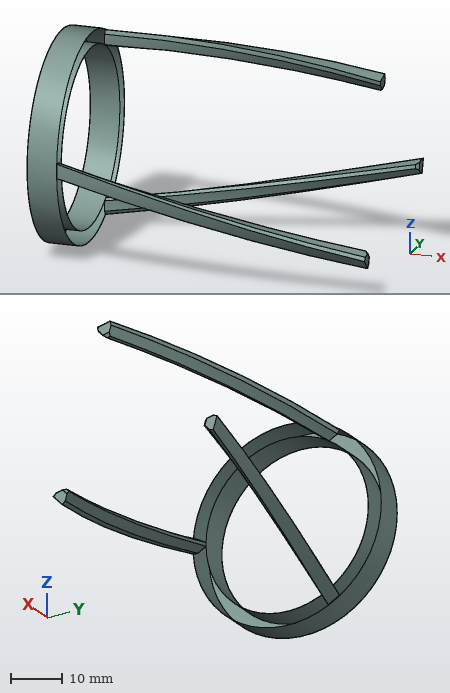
import cadquery as cq

OVERALL_LENGTH = 67.9
RING_DIAMETER = 43.0
BORE_DIAMETER = 37.0
RING_WIDTH = 6.1

LEG_COUNT = 3
FIRST_LEG_ANGLE = 60.0
LEG_TWIST = 43.5
LEG_LENGTH = OVERALL_LENGTH - RING_WIDTH

LEG_OUTER_RADIUS = 21.3
LEG_INNER_RADIUS = BORE_DIAMETER / 2
OUTER_BAND_DEPTH = 0.95
LEG_OUTER_WIDTH = 3.0
LEG_INNER_WIDTH = 0.8

TIP_CHAMFER = 0.6


def make_ring():
    return (
        cq.Workplane("YZ")
        .circle(RING_DIAMETER / 2)
        .circle(BORE_DIAMETER / 2)
        .extrude(RING_WIDTH)
    )


def make_leg(angle):
    """Leg that starts at the given angle from +Y and winds around the ring axis."""
    band_radius = LEG_OUTER_RADIUS - OUTER_BAND_DEPTH
    half_outer = LEG_OUTER_WIDTH / 2
    half_inner = LEG_INNER_WIDTH / 2
    section = [
        (LEG_INNER_RADIUS, -half_inner),
        (band_radius, -half_outer),
        (LEG_OUTER_RADIUS, -half_outer),
        (LEG_OUTER_RADIUS, half_outer),
        (band_radius, half_outer),
        (LEG_INNER_RADIUS, half_inner),
    ]
    return (
        cq.Workplane("YZ", origin=(RING_WIDTH, 0, 0))
        .polyline(section)
        .close()
        .twistExtrude(LEG_LENGTH, LEG_TWIST)
        .rotate((0, 0, 0), (1, 0, 0), angle)
    )


def make_tip_cutter():
    """Cone around the ring axis that bevels the inner edge of every leg tip."""
    tip_radius = LEG_INNER_RADIUS + TIP_CHAMFER
    return (
        cq.Workplane("XY")
        .moveTo(OVERALL_LENGTH - tip_radius, 0)
        .lineTo(OVERALL_LENGTH, 0)
        .lineTo(OVERALL_LENGTH, tip_radius)
        .close()
        .revolve(360, (0, 0, 0), (1, 0, 0))
    )


result = make_ring()
for leg_index in range(LEG_COUNT):
    leg_angle = FIRST_LEG_ANGLE + leg_index * 360 / LEG_COUNT
    result = result.union(make_leg(leg_angle))
result = result.cut(make_tip_cutter())